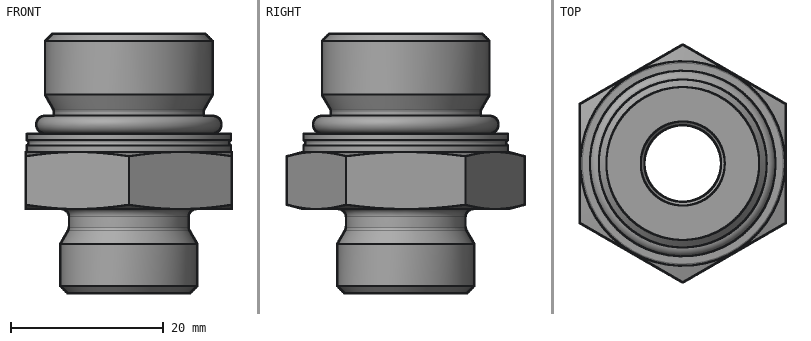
import cadquery as cq
import math

total_height = 34.0
collar_top = 20.95
hex_top = 18.53
hex_bottom = 11.0

across_flats = 27.0
hex_chamfer_diameter = 26.8
hex_chamfer_angle = 15.0

collar_diameter = 26.8
groove_bottom = 19.35
groove_top = 20.1
groove_depth = 0.25
collar_bevel_width = 0.25
collar_bevel_height = 0.07

stud_diameter = 22.0
stud_neck_diameter = 19.7
stud_neck_top = 24.0
stud_neck_fillet = 0.4

tail_diameter = 18.0
tail_neck_diameter = 15.7
tail_neck_bottom = 8.43
tail_neck_fillet = 0.8
tail_root_fillet = 1.0

end_chamfer = 1.0
cone_angle = 30.0

bore_diameter = 10.0
bore_chamfer = 0.5

ring_section_diameter = 2.3


def make_stud(diameter, neck_diameter, neck_length, length, neck_fillet, root_fillet=0):
    """Stud along +Z: neck, blended cone and cylinder with a chamfered end."""
    radius = diameter / 2
    neck_radius = neck_diameter / 2
    cone_length = (radius - neck_radius) / math.tan(math.radians(cone_angle))
    profile = cq.Workplane("XZ").lineTo(neck_radius + root_fillet, 0)
    if root_fillet:
        profile = profile.radiusArc((neck_radius, root_fillet), root_fillet)
    stud = (
        profile.lineTo(neck_radius, neck_length)
        .lineTo(radius, neck_length + cone_length)
        .lineTo(radius, length - end_chamfer)
        .lineTo(radius - end_chamfer, length)
        .lineTo(0, length)
        .close()
        .revolve(360, (0, 0, 0), (0, 1, 0))
    )
    neck_end = cq.selectors.BoxSelector(
        (-radius, -radius, neck_length - neck_fillet / 2),
        (radius, radius, neck_length + neck_fillet / 2),
        boundingbox=True,
    )
    return stud.edges(neck_end).fillet(neck_fillet)


def make_hexagon():
    """Hexagonal prism whose corners are trimmed by a shallow cone at both ends."""
    corner_radius = across_flats / 2 / math.cos(math.radians(30))
    face_radius = hex_chamfer_diameter / 2
    chamfer_drop = (corner_radius - face_radius) * math.tan(math.radians(hex_chamfer_angle))
    prism = (
        cq.Workplane("XY", origin=(0, 0, hex_bottom))
        .polygon(6, 2 * corner_radius)
        .extrude(hex_top - hex_bottom)
        .rotate((0, 0, 0), (0, 0, 1), 30)
    )
    envelope = (
        cq.Workplane("XZ")
        .moveTo(0, hex_bottom)
        .lineTo(face_radius, hex_bottom)
        .lineTo(corner_radius, hex_bottom + chamfer_drop)
        .lineTo(corner_radius, hex_top - chamfer_drop)
        .lineTo(face_radius, hex_top)
        .lineTo(0, hex_top)
        .close()
        .revolve(360, (0, 0, 0), (0, 1, 0))
    )
    return prism.intersect(envelope)


def make_collar():
    """Round collar on top of the hexagon, grooved around its rim and bevelled at the top."""
    radius = collar_diameter / 2
    groove_middle = (groove_bottom + groove_top) / 2
    return (
        cq.Workplane("XZ")
        .moveTo(0, hex_top)
        .lineTo(radius, hex_top)
        .lineTo(radius, groove_bottom)
        .threePointArc((radius - groove_depth, groove_middle), (radius, groove_top))
        .lineTo(radius, collar_top - collar_bevel_height)
        .lineTo(radius - collar_bevel_width, collar_top)
        .lineTo(0, collar_top)
        .close()
        .revolve(360, (0, 0, 0), (0, 1, 0))
    )


def make_bore():
    """Through bore with a chamfered mouth at the upper end."""
    radius = bore_diameter / 2
    return (
        cq.Workplane("XZ")
        .lineTo(radius, 0)
        .lineTo(radius, total_height - bore_chamfer)
        .lineTo(radius + bore_chamfer, total_height)
        .lineTo(0, total_height)
        .close()
        .revolve(360, (0, 0, 0), (0, 1, 0))
    )


def make_fitting():
    """Male fitting: two studs on either side of the hexagon and collar."""
    upper_stud = make_stud(
        stud_diameter,
        stud_neck_diameter,
        stud_neck_top - collar_top,
        total_height - collar_top,
        stud_neck_fillet,
    ).translate((0, 0, collar_top))
    lower_stud = (
        make_stud(
            tail_diameter,
            tail_neck_diameter,
            hex_bottom - tail_neck_bottom,
            hex_bottom,
            tail_neck_fillet,
            tail_root_fillet,
        )
        .rotate((0, 0, 0), (1, 0, 0), 180)
        .translate((0, 0, hex_bottom))
    )
    return make_hexagon().union(make_collar()).union(upper_stud).union(lower_stud).cut(make_bore())


def make_o_ring():
    """O-ring touching the upper neck and the top face of the collar."""
    section_radius = ring_section_diameter / 2
    center_radius = stud_neck_diameter / 2 + section_radius
    return (
        cq.Workplane("XZ")
        .moveTo(center_radius, collar_top + section_radius)
        .circle(section_radius)
        .revolve(360, (0, 0, 0), (0, 1, 0))
    )


fitting = make_fitting()
o_ring = make_o_ring()
result = cq.Compound.makeCompound([*fitting.solids().vals(), o_ring.val()])